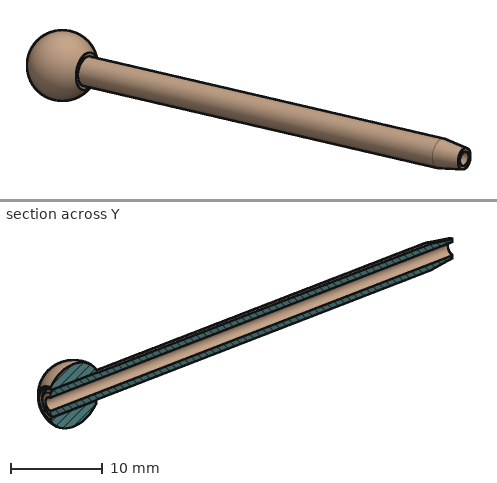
import cadquery as cq
import math

TOTAL_LENGTH = 57.15

BALL_DIAMETER = 7.8
BALL_LENGTH = 6.6
BORE_CHAMFER = 0.25

TUBE_DIAMETER = 3.3
TUBE_BORE_DIAMETER = 1.6
TIP_DIAMETER = 2.4
TAPER_LENGTH = 3.1
TUBE_END_CHAMFER = 0.3

BALL_RADIUS = BALL_DIAMETER / 2
TUBE_RADIUS = TUBE_DIAMETER / 2
TUBE_BORE_RADIUS = TUBE_BORE_DIAMETER / 2
TIP_RADIUS = TIP_DIAMETER / 2


def revolve_about_x(profile):
    """Turn a closed XY profile a full circle about the X axis."""
    return profile.close().revolve(360, (0, 0, 0), (1, 0, 0))


def make_ball():
    """Truncated ball with a through bore, chamfered at the outer end."""
    half_length = BALL_LENGTH / 2
    flat_radius = math.sqrt(BALL_RADIUS**2 - half_length**2)
    return revolve_about_x(
        cq.Workplane("XY")
        .moveTo(0, TUBE_RADIUS + BORE_CHAMFER)
        .lineTo(0, flat_radius)
        .threePointArc((half_length, BALL_RADIUS), (BALL_LENGTH, flat_radius))
        .lineTo(BALL_LENGTH, TUBE_RADIUS)
        .lineTo(BORE_CHAMFER, TUBE_RADIUS)
    )


def make_tube():
    """Straight tube, flush with the ball's outer flat and tapered at its free tip."""
    return revolve_about_x(
        cq.Workplane("XY")
        .moveTo(0, TUBE_BORE_RADIUS)
        .lineTo(0, TUBE_RADIUS - TUBE_END_CHAMFER)
        .lineTo(TUBE_END_CHAMFER, TUBE_RADIUS)
        .lineTo(TOTAL_LENGTH - TAPER_LENGTH, TUBE_RADIUS)
        .lineTo(TOTAL_LENGTH, TIP_RADIUS)
        .lineTo(TOTAL_LENGTH, TUBE_BORE_RADIUS)
    )


ball = make_ball()
tube = make_tube()

result = cq.Compound.makeCompound([ball.val(), tube.val()])